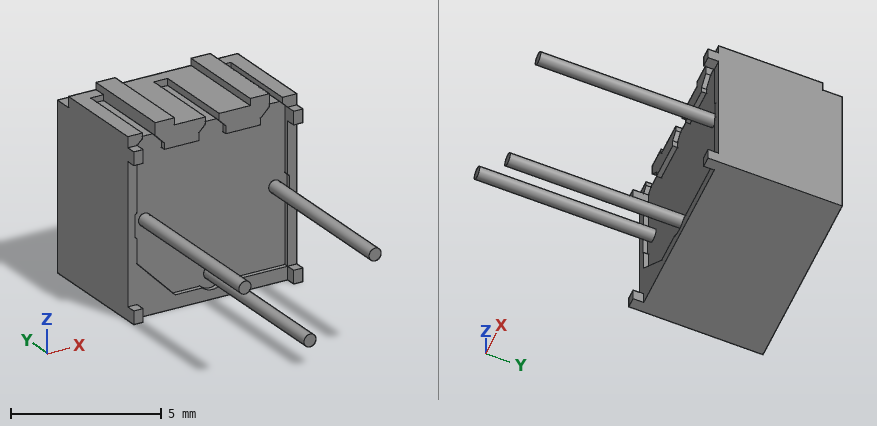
import cadquery as cq


housing_width = 6.6
housing_depth = 4.49
roof_height = 6.73
rib_top = 6.99
rib_inner_x = 1.48
rib_outer_x = 2.23
ledge_height = 6.32
ledge_depth = 0.71

wall = 0.36
foot_height = 0.5
foot_length = 0.39

cavity_depth = 3.29
cavity_half_width = housing_width / 2 - wall
cavity_floor = foot_height
cavity_shoulder_height = ledge_height
outer_slot_floor = 6.52
outer_slot_outer_x = 2.73
middle_slot_floor = 6.47
middle_slot_half_width = 0.27

lug_bottom = 5.93
lug_outer_bevel = 0.35
lug_inner_bevel = 0.26

corner_bevel = 1.49
notch_depth = 0.08
notch_half_height = 0.48
notch_centre_height = 3.39

base_recess = 0.17

pin_diameter = 0.47
overall_depth = 10.72
pin_tip_y = housing_depth - overall_depth
outer_pin_x = 2.54
outer_pin_height = 3.45
middle_pin_height = outer_pin_height - outer_pin_x
pin_relief_radius = 0.56


def block(x_min, x_max, y_min, y_max, z_min, z_max):
    """Box given by its limits on the three axes."""
    size = (x_max - x_min, y_max - y_min, z_max - z_min)
    return cq.Workplane("XY").box(*size, centered=False).translate((x_min, y_min, z_min))


def along_y(outline, y_front, y_back):
    """Extrude an outline drawn on an XZ plane from y_front back to y_back."""
    plane = cq.Workplane("XZ", origin=(0, y_front, 0))
    return outline(plane).extrude(y_front - y_back)


def right_half_outline(plane):
    """Right half of the cavity outline, closed along the middle plane."""
    notch_x = cavity_half_width + notch_depth
    notch_top = notch_centre_height + notch_half_height
    notch_bottom = notch_centre_height - notch_half_height
    lug_inner_x = middle_slot_half_width + lug_inner_bevel
    lug_outer_x = rib_outer_x - lug_outer_bevel
    return plane.polyline([
        (0, cavity_floor),
        (cavity_half_width, cavity_floor),
        (cavity_half_width, notch_bottom),
        (notch_x, notch_bottom + notch_depth),
        (notch_x, notch_top - notch_depth),
        (cavity_half_width, notch_top),
        (cavity_half_width, cavity_shoulder_height),
        (outer_slot_outer_x, outer_slot_floor),
        (rib_outer_x, outer_slot_floor),
        (lug_outer_x, outer_slot_floor - lug_outer_bevel),
        (lug_outer_x, lug_bottom),
        (lug_inner_x, lug_bottom),
        (lug_inner_x, middle_slot_floor - lug_inner_bevel),
        (middle_slot_half_width, middle_slot_floor),
        (0, middle_slot_floor),
    ]).close()


def bevel_outline(plane):
    """Triangle that fills the lower left corner of the cavity."""
    return plane.polyline([
        (-cavity_half_width, cavity_floor),
        (-cavity_half_width + corner_bevel, cavity_floor),
        (-cavity_half_width, cavity_floor + corner_bevel),
    ]).close()


def pin_relief_outline(plane):
    """Circle around the middle pin that bulges below the cavity floor."""
    return plane.center(0, middle_pin_height).circle(pin_relief_radius)


def make_cavity_fill(y_front):
    """Solid with the cavity outline, from y_front to the back of the cavity."""
    right_half = along_y(right_half_outline, y_front, cavity_depth)
    fill = right_half.union(right_half.mirror("YZ"))
    fill = fill.cut(along_y(bevel_outline, y_front, cavity_depth))
    return fill.union(along_y(pin_relief_outline, y_front, cavity_depth))


def make_housing():
    half_width = housing_width / 2
    ledge_y = housing_depth - ledge_depth
    housing = block(-half_width, half_width, 0, housing_depth, 0, roof_height)

    for x_min in (-rib_outer_x, rib_inner_x):
        x_max = x_min + rib_outer_x - rib_inner_x
        housing = housing.union(block(x_min, x_max, 0, ledge_y, roof_height, rib_top))

    housing = housing.cut(block(-half_width, half_width, ledge_y, housing_depth, ledge_height, rib_top))

    for x_min in (-half_width, half_width - wall):
        for z_min in (0, ledge_height - foot_height):
            foot = block(x_min, x_min + wall, -foot_length, 0, z_min, z_min + foot_height)
            housing = housing.union(foot)

    housing = housing.cut(make_cavity_fill(0))
    slots = (
        (-outer_slot_outer_x, -rib_outer_x, outer_slot_floor),
        (-middle_slot_half_width, middle_slot_half_width, middle_slot_floor),
        (rib_outer_x, outer_slot_outer_x, outer_slot_floor),
    )
    for x_min, x_max, floor in slots:
        housing = housing.cut(block(x_min, x_max, 0, cavity_depth, floor, roof_height))
    return housing


def make_base():
    """Base that fills the cavity, set back from the front of the housing."""
    return make_cavity_fill(base_recess)


def make_pin(x, z):
    """Round pin that stands on the front face of the base."""
    def outline(plane):
        return plane.center(x, z).circle(pin_diameter / 2)

    return along_y(outline, pin_tip_y, base_recess)


housing = make_housing()
base = make_base()
pin_places = (
    (-outer_pin_x, outer_pin_height),
    (0, middle_pin_height),
    (outer_pin_x, outer_pin_height),
)
pins = [make_pin(x, z) for x, z in pin_places]

result = cq.Compound.makeCompound([housing.val(), base.val(), *[pin.val() for pin in pins]])